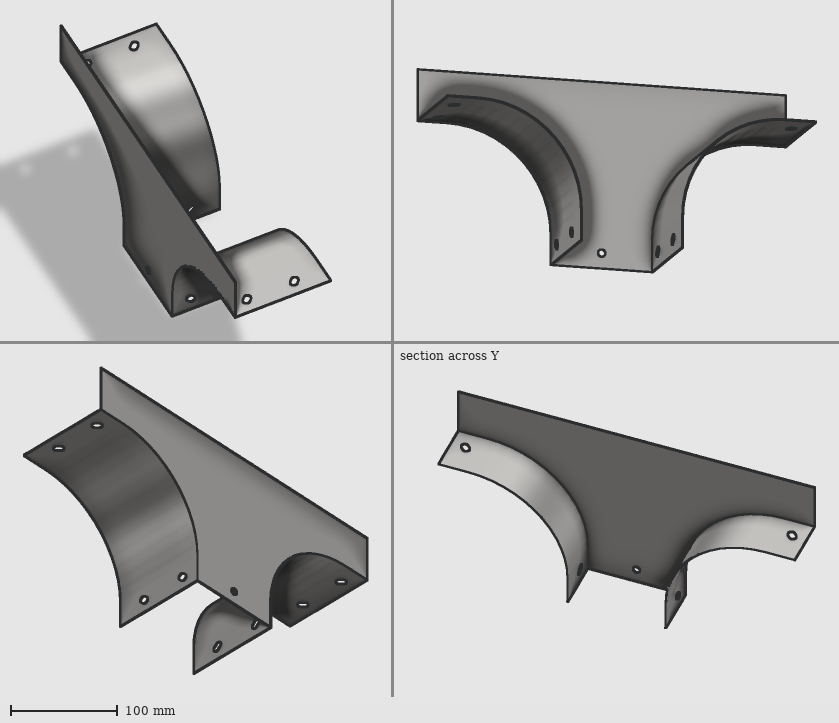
import cadquery as cq
import math

length = 360.0
height = 180.0
duct_width = 100.0
sheet = 1.0
bend_radius = 100.0
hole_diameter = 7.0
slot_length = 10.5
slot_angle = 45.0
slot_places_y = (20.0, 70.0)

depth = duct_width + sheet
half_length = length / 2
half_branch = duct_width / 2
arm_bottom = height - duct_width / 2
bend_centre_x = half_branch + bend_radius
bend_centre_z = arm_bottom - bend_radius
hole_inset = bend_centre_z / 2


def front_sketch():
    """XZ workplane on the front face; a negative extrusion goes back into +Y."""
    return cq.Workplane("XZ")


def bend_middle(radius):
    """Halfway point of the right-hand bend at the given radius."""
    offset = radius * math.sqrt(0.5)
    return (bend_centre_x - offset, bend_centre_z + offset)


def make_plate():
    """Flat T-shaped plate with two concave quarter-round corners."""
    middle_x, middle_z = bend_middle(bend_radius)
    outline = (
        front_sketch()
        .moveTo(-half_branch, 0)
        .lineTo(half_branch, 0)
        .lineTo(half_branch, bend_centre_z)
        .threePointArc((middle_x, middle_z), (bend_centre_x, arm_bottom))
        .lineTo(half_length, arm_bottom)
        .lineTo(half_length, height)
        .lineTo(-half_length, height)
        .lineTo(-half_length, arm_bottom)
        .lineTo(-bend_centre_x, arm_bottom)
        .threePointArc((-middle_x, middle_z), (-half_branch, bend_centre_z))
        .close()
    )
    return outline.extrude(-sheet)


def make_right_wall():
    """Curved wall along the right-hand corner, one sheet thick, inside the plate outline."""
    inner_x = half_branch - sheet
    inner_z = arm_bottom + sheet
    profile = (
        front_sketch()
        .moveTo(half_branch, 0)
        .lineTo(half_branch, bend_centre_z)
        .threePointArc(bend_middle(bend_radius), (bend_centre_x, arm_bottom))
        .lineTo(half_length, arm_bottom)
        .lineTo(half_length, inner_z)
        .lineTo(bend_centre_x, inner_z)
        .threePointArc(bend_middle(bend_radius + sheet), (inner_x, bend_centre_z))
        .lineTo(inner_x, 0)
        .close()
    )
    return profile.extrude(-depth)


def make_plate_hole():
    """Round hole near the end of the branch, through the plate."""
    return front_sketch().center(0, hole_inset).circle(hole_diameter / 2).extrude(-sheet)


def make_arm_slots():
    """Slanted slots through the flat wall ends under both arms."""
    slot_x = half_length - hole_inset
    centres = [(x, y) for x in (-slot_x, slot_x) for y in slot_places_y]
    return (
        cq.Workplane("XY", origin=(0, 0, arm_bottom))
        .pushPoints(centres)
        .slot2D(slot_length, hole_diameter, -slot_angle)
        .extrude(sheet)
    )


def make_branch_slots(wall_x, angle):
    """Slanted slots through the branch wall that starts at wall_x and is one sheet thick."""
    return (
        cq.Workplane("YZ", origin=(wall_x, 0, 0))
        .pushPoints([(y, hole_inset) for y in slot_places_y])
        .slot2D(slot_length, hole_diameter, angle)
        .extrude(sheet)
    )


right_wall = make_right_wall()
left_wall = right_wall.mirror("YZ")
body = make_plate().union(right_wall).union(left_wall)
body = body.cut(make_plate_hole()).cut(make_arm_slots())

left_slots = make_branch_slots(-half_branch, slot_angle)
right_slots = make_branch_slots(half_branch - sheet, -slot_angle)
result = body.cut(left_slots).cut(right_slots)